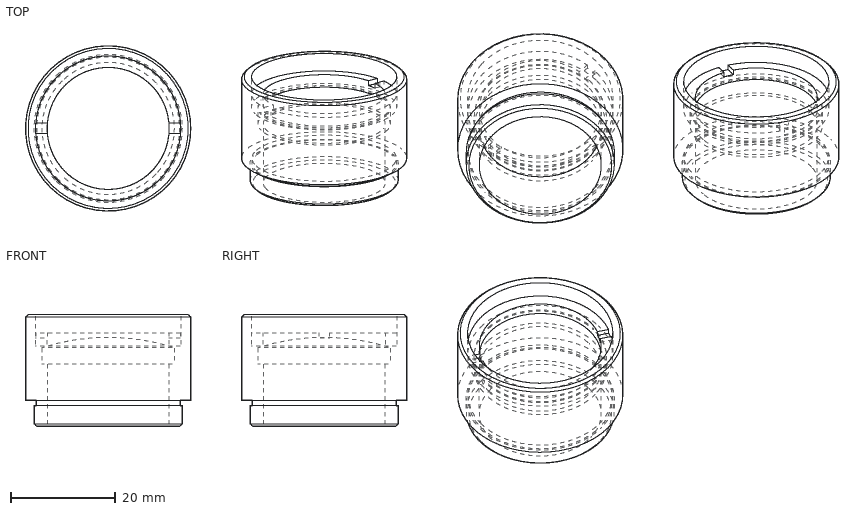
import cadquery as cq
import math

outer_radius = 15.88
total_height = 21.5
barrel_bottom = 5.0
spigot_radius = 14.23
spigot_top = 4.0
groove_radius = 13.88
edge_chamfer = 0.5
bore_radius = 13.95
aperture_radius = 11.72

ring_recess = 3.53
ring_thickness = 2.55
slot_width = 2.0
slot_depth = 1.0
ring_top = total_height - ring_recess
ring_bottom = ring_top - ring_thickness

dome_height = 1.68
lens_radius = 12.7
lens_edge_thickness = 3.18
lens_apex = ring_bottom + dome_height
dome_radius = (aperture_radius**2 + dome_height**2) / (2 * dome_height)
dome_centre = lens_apex - dome_radius


def dome_z(radius):
    """Height of the spherical lens face at a distance from the axis."""
    return dome_centre + math.sqrt(dome_radius**2 - radius**2)


lens_edge_top = dome_z(lens_radius)
lens_seat = lens_edge_top - lens_edge_thickness


def make_housing():
    profile = [
        (aperture_radius, 0),
        (spigot_radius - edge_chamfer, 0),
        (spigot_radius, edge_chamfer),
        (spigot_radius, spigot_top),
        (groove_radius, spigot_top),
        (groove_radius, barrel_bottom),
        (outer_radius, barrel_bottom),
        (outer_radius, total_height - edge_chamfer),
        (outer_radius - edge_chamfer, total_height),
        (bore_radius, total_height),
        (bore_radius, ring_bottom),
        (lens_radius, ring_bottom),
        (lens_radius, lens_seat),
        (aperture_radius, lens_seat),
    ]
    return cq.Workplane("XZ").polyline(profile).close().revolve(360, (0, 0), (0, 1))


def make_retaining_ring():
    ring = (
        cq.Workplane("XY", origin=(0, 0, ring_bottom))
        .circle(bore_radius)
        .circle(aperture_radius)
        .extrude(ring_thickness)
    )
    spanner_slots = (
        cq.Workplane("XY", origin=(0, 0, ring_top - slot_depth))
        .rect(2 * outer_radius, slot_width)
        .extrude(slot_depth)
    )
    return ring.cut(spanner_slots)


def make_lens():
    arc_middle = lens_radius / 2
    return (
        cq.Workplane("XZ")
        .moveTo(0, lens_seat)
        .lineTo(lens_radius, lens_seat)
        .lineTo(lens_radius, lens_edge_top)
        .threePointArc((arc_middle, dome_z(arc_middle)), (0, lens_apex))
        .close()
        .revolve(360, (0, 0), (0, 1))
    )


housing = make_housing()
retaining_ring = make_retaining_ring()
lens = make_lens()

result = cq.Compound.makeCompound([housing.val(), retaining_ring.val(), lens.val()])